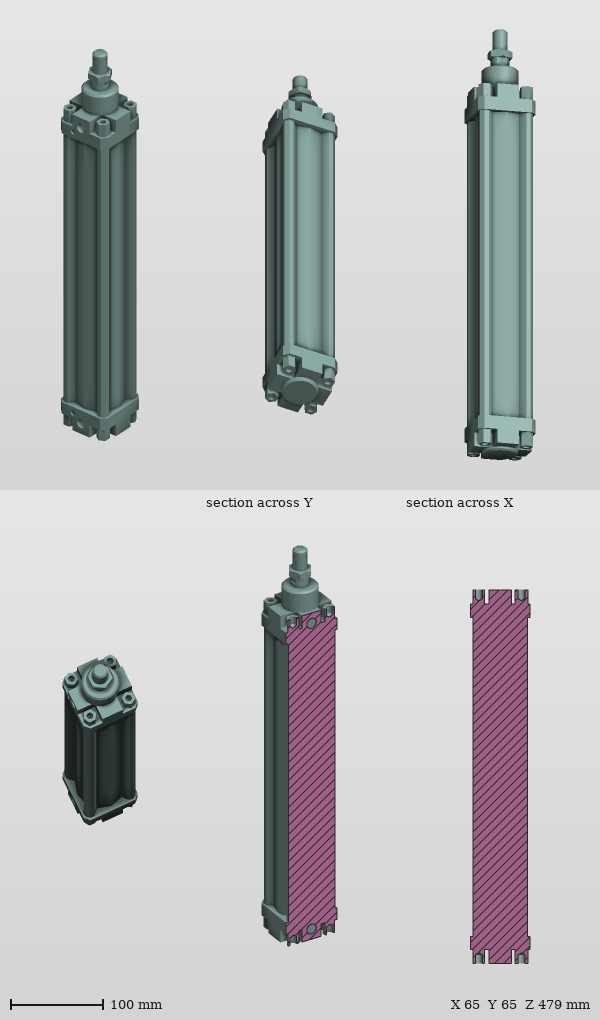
import cadquery as cq
import math

TOTAL_LENGTH = 479.0
REAR_BOSS_HEIGHT = 4.0
CAP_HEIGHT = 30.0
FRONT_CAP_FACE_Z = 410.0
COLLAR_HEIGHT = 25.0
ROD_SHOULDER_Z = 447.0

REAR_CAP_FACE_Z = REAR_BOSS_HEIGHT
REAR_CAP_INNER_Z = REAR_CAP_FACE_Z + CAP_HEIGHT
COLLAR_TOP_Z = FRONT_CAP_FACE_Z + COLLAR_HEIGHT
MID_Z = (REAR_CAP_FACE_Z + FRONT_CAP_FACE_Z) / 2

CAP_WIDTH = 65.0
CAP_CORNER_CHAMFER = 5.7
CORNER_STEP_DEPTH = 15.5
ARM_WIDTH = 24.5
COLLAR_DIAMETER = 40.0
COLLAR_CHAMFER = 2.0

SCREW_PITCH = 46.5
SCREW_ACROSS_FLATS = 13.0
SCREW_HOLE_DIAMETER = 7.0
SCREW_HOLE_DEPTH = 9.5
DRILL_POINT_ANGLE = math.radians(118)

PORT_DIAMETER = 11.5
PORT_DEPTH = 9.5
PORT_OFFSET = 13.0
CUSHION_DIAMETER = 6.0
CUSHION_DEPTH = 2.5
CUSHION_X = -11.5
CUSHION_OFFSET = 22.0

BARREL_WIDTH = 60.0
BARREL_CORNER_CHAMFER = 4.0
CORNER_PAD_INNER = 21.0
GROOVE_BOTTOM = 15.0
GROOVE_DEPTH = 6.0
RIDGE_DEPTH = 2.5

ROD_DIAMETER = 20.0
ROD_ACROSS_FLATS = 17.0
ROD_FLATS_Z = 439.2
THREAD_DIAMETER = 16.5
THREAD_CHAMFER = 2.0

NUT_ACROSS_FLATS = 24.0
NUT_THICKNESS = 8.0
NUT_CHAMFER_ANGLE = math.radians(30)


def hexagon_diameter(across_flats):
    """Diameter through the corners of a hexagon."""
    return across_flats / math.cos(math.pi / 6)


def cylinder(base_z, diameter, height):
    """Upright cylinder on the Z axis."""
    return cq.Workplane("XY", origin=(0, 0, base_z)).circle(diameter / 2).extrude(height)


def barrel():
    """Extruded square bar whose sides have a low middle ridge between two grooves."""
    half = BARREL_WIDTH / 2
    side = [
        (-half + BARREL_CORNER_CHAMFER, -half),
        (-CORNER_PAD_INNER, -half),
        (-GROOVE_BOTTOM, -half + GROOVE_DEPTH),
        (0, -half + RIDGE_DEPTH),
        (GROOVE_BOTTOM, -half + GROOVE_DEPTH),
        (CORNER_PAD_INNER, -half),
        (half - BARREL_CORNER_CHAMFER, -half),
    ]
    outline = []
    for _ in range(4):
        outline += side
        side = [(-y, x) for x, y in side]
    length = FRONT_CAP_FACE_Z - REAR_CAP_FACE_Z - 2 * CAP_HEIGHT
    return cq.Workplane("XY", origin=(0, 0, REAR_CAP_INNER_Z)).polyline(outline).close().extrude(length)


def screw_head(base_z):
    """Hexagonal head in the -X, -Y corner with a blind hole ending in a drill point."""
    radius = SCREW_HOLE_DIAMETER / 2
    point_length = radius / math.tan(DRILL_POINT_ANGLE / 2)
    center = (-SCREW_PITCH / 2, -SCREW_PITCH / 2)
    hexagon = (
        cq.Workplane("XY", origin=(*center, base_z))
        .polygon(6, hexagon_diameter(SCREW_ACROSS_FLATS))
        .extrude(CORNER_STEP_DEPTH)
    )
    hole = (
        cq.Workplane("XZ", origin=(*center, FRONT_CAP_FACE_Z))
        .lineTo(radius, 0)
        .lineTo(radius, -SCREW_HOLE_DEPTH)
        .lineTo(0, -SCREW_HOLE_DEPTH - point_length)
        .close()
        .revolve(360, (0, 0), (0, 1))
    )
    return hexagon.cut(hole)


def end_cap():
    """Front end cap: square block, stepped corners, hexagonal screw heads and side recesses."""
    base_z = FRONT_CAP_FACE_Z - CAP_HEIGHT
    step_z = FRONT_CAP_FACE_Z - CORNER_STEP_DEPTH
    cap = (
        cq.Workplane("XY", origin=(0, 0, base_z))
        .rect(CAP_WIDTH, CAP_WIDTH)
        .extrude(CAP_HEIGHT)
        .edges("|Z")
        .chamfer(CAP_CORNER_CHAMFER)
    )
    corner_size = (CAP_WIDTH - ARM_WIDTH) / 2
    corner_pitch = CAP_WIDTH - corner_size
    corners = (
        cq.Workplane("XY", origin=(0, 0, step_z))
        .rect(corner_pitch, corner_pitch, forConstruction=True)
        .vertices()
        .rect(corner_size, corner_size)
        .extrude(CORNER_STEP_DEPTH)
    )
    cap = cap.cut(corners)

    head = screw_head(step_z)
    for corner in range(4):
        cap = cap.union(head.rotate((0, 0, 0), (0, 0, 1), 90 * corner))

    cap = cap.cut(side_recess(0, PORT_OFFSET, PORT_DIAMETER, PORT_DEPTH))
    return cap.cut(side_recess(CUSHION_X, CUSHION_OFFSET, CUSHION_DIAMETER, CUSHION_DEPTH))


def side_recess(x, offset, diameter, depth):
    """Round recess in the -Y side, placed by its distance below the front cap face."""
    center = (x, -CAP_WIDTH / 2, FRONT_CAP_FACE_Z - offset)
    return cq.Workplane("XZ", origin=center).circle(diameter / 2).extrude(-depth)


def collar(height):
    """Round collar on the front cap face with a chamfered outer rim."""
    return (
        cylinder(FRONT_CAP_FACE_Z, COLLAR_DIAMETER, height)
        .faces(">Z")
        .edges()
        .chamfer(COLLAR_CHAMFER)
    )


def make_housing():
    """Barrel with a cap on each end, the rear cap mirroring the front one."""
    front = end_cap().union(collar(COLLAR_HEIGHT))
    rear = end_cap().union(collar(REAR_BOSS_HEIGHT)).mirror("XY", (0, 0, MID_Z))
    return barrel().union(front).union(rear)


def make_rod():
    """Piston rod standing on the collar: round neck, shank with two wrench flats and threaded end."""
    neck = cylinder(COLLAR_TOP_Z, ROD_DIAMETER, ROD_FLATS_Z - COLLAR_TOP_Z)
    flats_height = ROD_SHOULDER_Z - ROD_FLATS_Z
    flats = (
        cq.Workplane("XY", origin=(0, 0, ROD_FLATS_Z))
        .rect(ROD_ACROSS_FLATS, 2 * ROD_DIAMETER)
        .extrude(flats_height)
    )
    shank = cylinder(ROD_FLATS_Z, ROD_DIAMETER, flats_height).intersect(flats)
    thread = (
        cylinder(ROD_SHOULDER_Z, THREAD_DIAMETER, TOTAL_LENGTH - ROD_SHOULDER_Z)
        .faces(">Z")
        .chamfer(THREAD_CHAMFER)
    )
    return neck.union(shank, clean=False).union(thread, clean=False)


def make_nut():
    """Hexagonal lock nut seated on the rod shoulder, its corners chamfered at both ends."""
    corner_diameter = hexagon_diameter(NUT_ACROSS_FLATS)
    corner_overhang = (corner_diameter - NUT_ACROSS_FLATS) / 2
    rounding = (
        cylinder(ROD_SHOULDER_Z, corner_diameter, NUT_THICKNESS)
        .edges()
        .chamfer(corner_overhang * math.tan(NUT_CHAMFER_ANGLE), corner_overhang)
    )
    blank = (
        cq.Workplane("XY", origin=(0, 0, ROD_SHOULDER_Z))
        .polygon(6, corner_diameter)
        .extrude(NUT_THICKNESS)
    )
    bore = cylinder(ROD_SHOULDER_Z, THREAD_DIAMETER, NUT_THICKNESS)
    return blank.intersect(rounding).cut(bore)


housing = make_housing()
rod = make_rod()
nut = make_nut()

result = cq.Compound.makeCompound([housing.val(), rod.val(), nut.val()])